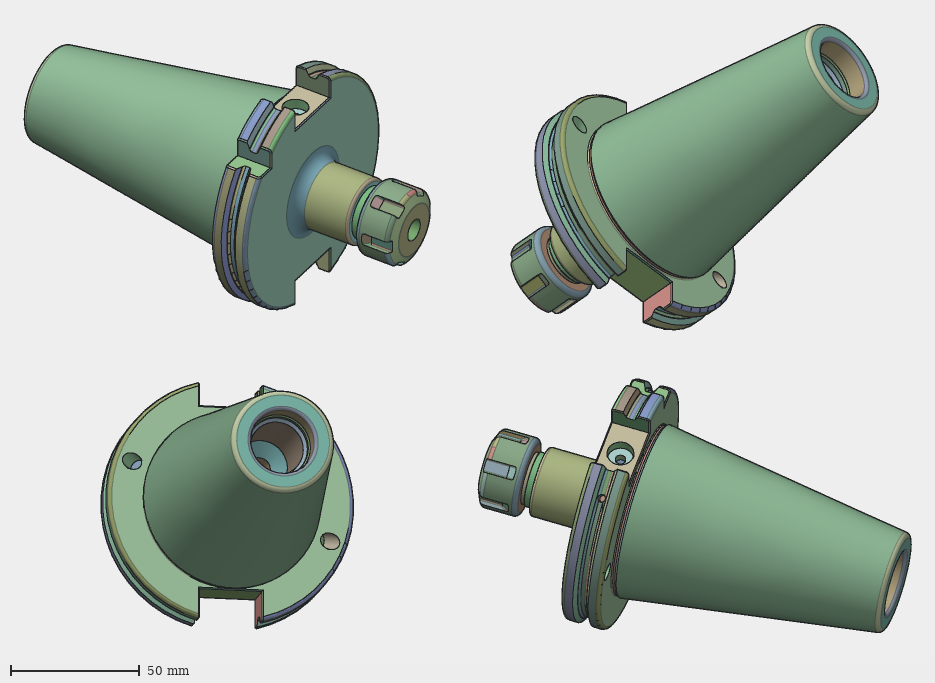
import cadquery as cq
import math

TOTAL_LENGTH = 167.3

DRILL_POINT_HALF_ANGLE = 59

TAPER_RATIO = 7 / 24
TAPER_LENGTH = 102.7
TAPER_LARGE_DIAMETER = 70.1
TAPER_LARGE_RADIUS = TAPER_LARGE_DIAMETER / 2
TAPER_SMALL_RADIUS = TAPER_LARGE_RADIUS - TAPER_LENGTH * TAPER_RATIO / 2
TAPER_END_FILLET = 2.0
UNDERCUT_RADIUS = 34.3
UNDERCUT_CHAMFER = 0.8
UNDERCUT_FILLET = 0.5

FLANGE_START = 104.9
FLANGE_WIDTH = 15.9
FLANGE_END = FLANGE_START + FLANGE_WIDTH
FLANGE_RADIUS = 48.7
FLANGE_FILLET = 1.5
GROOVE_CENTRE = 112.8
GROOVE_RADIUS = 45.7
GROOVE_HALF_WIDTH = 1.8
GROOVE_MOUTH_HALF_WIDTH = 3.2
GROOVE_FLANK_ANGLE = 30
GROOVE_FLOOR_FILLET = 1.0

SLOT_WIDTH = 24.8
SLOT_FLOOR_TOP = 37.6
SLOT_FLOOR_BOTTOM = 35.3
NOTCH_FLOOR = 30.1
CUTOUT_CHAMFER = 0.5

CHIP_RADIUS = 5.2
CHIP_DEPTH = 4.5
CHIP_PILOT_RADIUS = 2.0
CHIP_PILOT_DEPTH = 3.3

GROOVE_HOLE_RADIUS = 1.5
GROOVE_HOLE_DEPTH = 5.0
GROOVE_HOLE_ANGLE = 30

INCLINED_RADIUS = 3.2
INCLINED_DEPTH = 6.7
INCLINED_PITCH_RADIUS = 41.7
INCLINED_TILT = 35
INCLINED_ANGLES = (20, 200)

NECK_DIAMETER = 28.0
NECK_RADIUS = NECK_DIAMETER / 2
NECK_END = 145.7
NECK_ROOT_FILLET = 5.0
NECK_END_FILLET = 1.2
COLLAR_RADIUS = 11.0
COLLAR_END = 148.6
NOSE_RADIUS = 10.5
NOSE_END = 162.3

THROUGH_RADIUS = 4.5
COUNTERBORE_RADIUS = 12.5
COUNTERBORE_DEPTH = 9.0
COUNTERBORE_FILLET = 1.3
RELIEF_RADIUS = 11.9
RELIEF_END = 11.7
THREAD_RADIUS = 10.5
THREAD_BORE_END = 45.2

NUT_START = 150.1
NUT_RADIUS = 15.9
NUT_REAR_FILLET = 2.0
NUT_CONE_START = 165.0
NUT_FACE_RADIUS = 11.0
NUT_CONE_FILLET = 2.0
NUT_FACE_FILLET = 0.5
NUT_SLOT_COUNT = 6
NUT_SLOT_WIDTH = 5.4
NUT_SLOT_FLOOR = 13.5
NUT_SLOT_CORNER_FILLET = 0.5
NUT_SLOT_START = 153.3
NUT_SLOT_FLOOR_START = 156.5


def revolve_about_x(points):
    """Solid of revolution about X from (x, radius) points, drawn in the half-plane above the axis."""
    return cq.Workplane("XZ").polyline(points).close().revolve(360, (0, 0, 0), (1, 0, 0))


def cylinder_along_x(start, end, radius):
    return cq.Workplane("YZ", origin=(start, 0, 0)).circle(radius).extrude(end - start)


def make_holder_blank():
    """Taper, flange, neck and nose, each fillet put on its own stretch before they are joined."""
    taper = (
        cq.Workplane("XZ")
        .moveTo(0, 0)
        .lineTo(0, TAPER_SMALL_RADIUS)
        .lineTo(TAPER_LENGTH, TAPER_LARGE_RADIUS)
        .lineTo(TAPER_LENGTH + UNDERCUT_CHAMFER, UNDERCUT_RADIUS)
        .lineTo(FLANGE_START - UNDERCUT_FILLET, UNDERCUT_RADIUS)
        .radiusArc((FLANGE_START, UNDERCUT_RADIUS + UNDERCUT_FILLET), -UNDERCUT_FILLET)
        .lineTo(FLANGE_START, 0)
        .close()
        .revolve(360, (0, 0, 0), (1, 0, 0))
        .edges("<X")
        .fillet(TAPER_END_FILLET)
    )
    neck = cylinder_along_x(FLANGE_END, NECK_END, NECK_RADIUS).edges(">X").fillet(NECK_END_FILLET)
    collar = cylinder_along_x(NECK_END, COLLAR_END, COLLAR_RADIUS)
    nose = cylinder_along_x(COLLAR_END, NOSE_END, NOSE_RADIUS)
    root = (
        cq.Workplane("XZ")
        .moveTo(FLANGE_END, 0)
        .lineTo(FLANGE_END, NECK_RADIUS + NECK_ROOT_FILLET)
        .radiusArc((FLANGE_END + NECK_ROOT_FILLET, NECK_RADIUS), -NECK_ROOT_FILLET)
        .lineTo(FLANGE_END + NECK_ROOT_FILLET, 0)
        .close()
        .revolve(360, (0, 0, 0), (1, 0, 0))
    )
    return taper.union(make_flange()).union(root).union(neck).union(collar).union(nose)


def make_flange():
    disc = cylinder_along_x(FLANGE_START, FLANGE_END, FLANGE_RADIUS).edges().fillet(FLANGE_FILLET)
    flank_depth = (GROOVE_MOUTH_HALF_WIDTH - GROOVE_HALF_WIDTH) / math.tan(math.radians(GROOVE_FLANK_ANGLE))
    flank_foot = FLANGE_RADIUS - flank_depth
    fillet_top = GROOVE_RADIUS + GROOVE_FLOOR_FILLET
    floor_half = GROOVE_HALF_WIDTH - GROOVE_FLOOR_FILLET
    groove = (
        cq.Workplane("XZ")
        .moveTo(GROOVE_CENTRE - GROOVE_MOUTH_HALF_WIDTH, FLANGE_RADIUS)
        .lineTo(GROOVE_CENTRE - GROOVE_HALF_WIDTH, flank_foot)
        .lineTo(GROOVE_CENTRE - GROOVE_HALF_WIDTH, fillet_top)
        .radiusArc((GROOVE_CENTRE - floor_half, GROOVE_RADIUS), -GROOVE_FLOOR_FILLET)
        .lineTo(GROOVE_CENTRE + floor_half, GROOVE_RADIUS)
        .radiusArc((GROOVE_CENTRE + GROOVE_HALF_WIDTH, fillet_top), -GROOVE_FLOOR_FILLET)
        .lineTo(GROOVE_CENTRE + GROOVE_HALF_WIDTH, flank_foot)
        .lineTo(GROOVE_CENTRE + GROOVE_MOUTH_HALF_WIDTH, FLANGE_RADIUS)
        .close()
        .revolve(360, (0, 0, 0), (1, 0, 0))
    )
    return chamfer_cutout_rims(disc.cut(make_flange_cutouts())).cut(groove)


def chamfer_cutout_rims(disc):
    """Chamfer the edges where the cut-out floors and walls meet the outside of the disc."""
    floors_and_walls = disc.faces("|Y or |Z")
    inner_corners = [edge.hashCode() for edge in disc.edges("|X").vals() if is_inner_corner(edge)]
    rims = [edge for edge in floors_and_walls.edges().vals() if edge.hashCode() not in inner_corners]
    return disc.newObject(rims).chamfer(CUTOUT_CHAMFER)


def is_inner_corner(edge):
    """True for a straight corner edge well inside the flange rim."""
    centre = edge.Center()
    return math.hypot(centre.y, centre.z) < FLANGE_RADIUS - CUTOUT_CHAMFER


def make_flange_cutouts():
    """Two driving slots (+Z and -Z) and the corner notch on the -Y, +Z side."""
    def block(y_min, z_min, y_size):
        return cq.Workplane("XY").box(FLANGE_WIDTH, y_size, FLANGE_RADIUS, centered=False).translate(
            (FLANGE_START, y_min, z_min))

    top_slot = block(-SLOT_WIDTH / 2, SLOT_FLOOR_TOP, SLOT_WIDTH)
    bottom_slot = block(-SLOT_WIDTH / 2, -SLOT_FLOOR_BOTTOM - FLANGE_RADIUS, SLOT_WIDTH)
    notch = block(-NOTCH_FLOOR - FLANGE_RADIUS, NOTCH_FLOOR, FLANGE_RADIUS)
    return top_slot.union(bottom_slot).union(notch)


def make_chip_pocket():
    floor = SLOT_FLOOR_TOP - CHIP_DEPTH
    pocket = cq.Workplane("XY", origin=(GROOVE_CENTRE, 0, floor)).circle(CHIP_RADIUS).extrude(CHIP_DEPTH)
    pilot = (
        cq.Workplane("XY", origin=(GROOVE_CENTRE, 0, floor - CHIP_PILOT_DEPTH))
        .circle(CHIP_PILOT_RADIUS)
        .extrude(CHIP_PILOT_DEPTH)
    )
    point_depth = CHIP_PILOT_RADIUS / math.tan(math.radians(DRILL_POINT_HALF_ANGLE))
    point = cq.Workplane(cq.Solid.makeCone(
        CHIP_PILOT_RADIUS,
        0,
        point_depth,
        pnt=cq.Vector(GROOVE_CENTRE, 0, floor - CHIP_PILOT_DEPTH),
        dir=cq.Vector(0, 0, -1),
    ))
    return pocket.union(pilot).union(point)


def make_groove_hole():
    hole = (
        cq.Workplane("XY", origin=(GROOVE_CENTRE, 0, GROOVE_RADIUS - GROOVE_HOLE_DEPTH))
        .circle(GROOVE_HOLE_RADIUS)
        .extrude(FLANGE_RADIUS - GROOVE_RADIUS + GROOVE_HOLE_DEPTH)
    )
    return hole.rotate((0, 0, 0), (1, 0, 0), -GROOVE_HOLE_ANGLE)


def make_inclined_hole(angle):
    """Blind hole leaning towards the axis, turned about X to its angle from +Y."""
    mouth = (FLANGE_START, INCLINED_PITCH_RADIUS, 0)
    overrun = 2 * INCLINED_RADIUS
    hole = cylinder_along_x(FLANGE_START - overrun, FLANGE_START + INCLINED_DEPTH, INCLINED_RADIUS)
    hole = hole.translate((0, INCLINED_PITCH_RADIUS, 0))
    hole = hole.rotate(mouth, (mouth[0], mouth[1], 1), -INCLINED_TILT)
    behind_face = cq.Workplane("YZ", origin=(FLANGE_START, 0, 0)).circle(2 * FLANGE_RADIUS).extrude(FLANGE_WIDTH)
    return hole.intersect(behind_face).rotate((0, 0, 0), (1, 0, 0), angle)


def make_holder_bore():
    """Filleted counterbore, short relief, thread bore with drill point, and through hole."""
    counterbore_step = COUNTERBORE_RADIUS - RELIEF_RADIUS
    thread_chamfer = RELIEF_RADIUS - THREAD_RADIUS
    point_length = (THREAD_RADIUS - THROUGH_RADIUS) / math.tan(math.radians(DRILL_POINT_HALF_ANGLE))
    return (
        cq.Workplane("XZ")
        .moveTo(0, 0)
        .lineTo(0, COUNTERBORE_RADIUS + COUNTERBORE_FILLET)
        .radiusArc((COUNTERBORE_FILLET, COUNTERBORE_RADIUS), -COUNTERBORE_FILLET)
        .lineTo(COUNTERBORE_DEPTH, COUNTERBORE_RADIUS)
        .lineTo(COUNTERBORE_DEPTH + counterbore_step, RELIEF_RADIUS)
        .lineTo(RELIEF_END, RELIEF_RADIUS)
        .lineTo(RELIEF_END + thread_chamfer, THREAD_RADIUS)
        .lineTo(THREAD_BORE_END, THREAD_RADIUS)
        .lineTo(THREAD_BORE_END + point_length, THROUGH_RADIUS)
        .lineTo(NOSE_END, THROUGH_RADIUS)
        .lineTo(NOSE_END, 0)
        .close()
        .revolve(360, (0, 0, 0), (1, 0, 0))
    )


def make_holder():
    holder = make_holder_blank().cut(make_holder_bore())
    holder = holder.cut(make_chip_pocket()).cut(make_groove_hole())
    for angle in INCLINED_ANGLES:
        holder = holder.cut(make_inclined_hole(angle))
    return holder


def make_nut_slot():
    """Spanner slot on the +Y side with a ramped rear end."""
    return (
        cq.Workplane("XY", origin=(0, 0, -NUT_SLOT_WIDTH / 2))
        .polyline([
            (NUT_SLOT_START, NUT_RADIUS),
            (NUT_SLOT_FLOOR_START, NUT_SLOT_FLOOR),
            (TOTAL_LENGTH, NUT_SLOT_FLOOR),
            (TOTAL_LENGTH, NUT_RADIUS),
        ])
        .close()
        .extrude(NUT_SLOT_WIDTH)
        .edges("(not |Z) and (not >Y) and (not >X)")
        .fillet(NUT_SLOT_CORNER_FILLET)
    )


def make_nut():
    nut = revolve_about_x([
        (NUT_START, 0),
        (NUT_START, NUT_RADIUS),
        (NUT_CONE_START, NUT_RADIUS),
        (TOTAL_LENGTH, NUT_FACE_RADIUS),
        (TOTAL_LENGTH, 0),
    ])
    nut = nut.edges("<X").fillet(NUT_REAR_FILLET)
    cone_edge = cq.selectors.BoxSelector(
        (NUT_CONE_START - 0.2, -NUT_RADIUS, -NUT_RADIUS),
        (NUT_CONE_START + 0.2, NUT_RADIUS, NUT_RADIUS),
    )
    nut = nut.edges(cone_edge).fillet(NUT_CONE_FILLET)
    nut = nut.edges(">X").fillet(NUT_FACE_FILLET)
    nut = nut.cut(cylinder_along_x(NUT_START, NOSE_END, NOSE_RADIUS))
    nut = nut.cut(cylinder_along_x(NOSE_END, TOTAL_LENGTH, THROUGH_RADIUS))
    slot = make_nut_slot()
    for index in range(NUT_SLOT_COUNT):
        nut = nut.cut(slot.rotate((0, 0, 0), (1, 0, 0), index * 360 / NUT_SLOT_COUNT))
    return nut


holder = make_holder()
nut = make_nut()
result = cq.Compound.makeCompound([holder.val(), nut.val()])